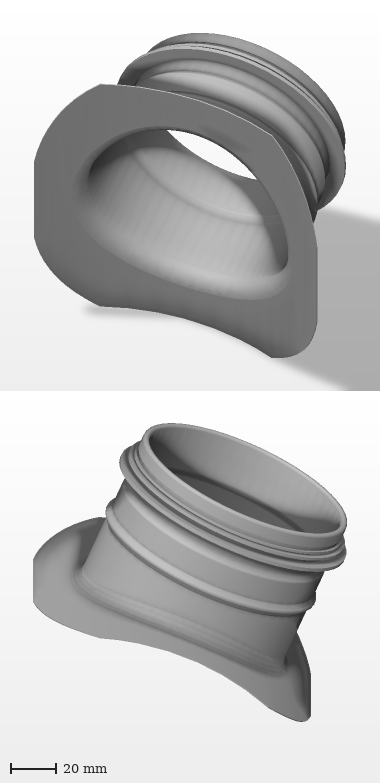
import cadquery as cq
import math


saddle_width = 135.0
saddle_height = 156.0
total_depth = 82.4

wall = 0.5
pipe_radius = 98.1 / 2
neck_radius = 94.2 / 2
hem_radius = 99.0 / 2
hem_depth = 6.2
bend_radius = 1.4
taper_rounding = 1.5
taper_start = 21.5
taper_end = 24.6

bead_depth = 39.0
bead_half_width = 3.1
bead_radius = 102.0 / 2
crown_half_width = 1.2
crown_base_radius = 100.8 / 2

saddle_inner_radius = 121.7
saddle_outer_radius = saddle_inner_radius + wall
flare_radius = 6.5
flat_half_width = 41.0
side_half_height = 26.5
corner_arc_x = 59.0
corner_arc_z = 55.8

band_radius = hem_radius - wall
gasket_inner_radius = 95.5 / 2
gasket_end = 15.6
small_lip_radius = 100.8 / 2
small_lip_depth = 8.1
small_lip_end = 9.2
middle_lip_radius = 104.5 / 2
middle_lip_depth = 10.0
middle_lip_end = 11.4
large_lip_radius = 109.5 / 2
large_lip_depth = 13.9

half_width = saddle_width / 2
half_height = saddle_height / 2
edge_cosine = math.sqrt(1 - (half_width / saddle_outer_radius) ** 2)
saddle_axis_depth = total_depth + saddle_inner_radius * edge_cosine
pipe_bore_radius = pipe_radius - wall
neck_bore_radius = neck_radius - wall
inner_bend_radius = bend_radius - wall
pipe_joint_depth = bead_depth + bead_half_width


def revolve_about_pipe_axis(profile):
    return profile.close().revolve(360, (0, 0, 0), (0, 1, 0))


def make_flared_core(radius, duct_radius, fillet_radius):
    """Solid pipe end running into a solid duct, with the junction rounded."""
    pipe_core = (
        cq.Workplane("XZ")
        .workplane(offset=pipe_joint_depth)
        .circle(radius)
        .extrude(saddle_axis_depth - pipe_joint_depth)
    )
    duct_core = (
        cq.Workplane("XY")
        .center(0, -saddle_axis_depth)
        .circle(duct_radius)
        .extrude(half_height + flare_radius, both=True)
    )
    junction = cq.selectors.BoxSelector(
        (-half_width, -total_depth, -half_height),
        (half_width, -pipe_joint_depth - wall, half_height),
    )
    return pipe_core.union(duct_core).edges(junction).fillet(fillet_radius)


def add_outline(plane, axis_distance):
    """Draw the saddle's outline, cast from the duct axis onto a plane at axis_distance."""

    def spread(x):
        return x * axis_distance / math.sqrt(saddle_outer_radius**2 - x**2)

    flat_x = spread(flat_half_width)
    arc_x = spread(corner_arc_x)
    side_x = spread(half_width)
    return (
        plane.moveTo(-flat_x, half_height)
        .lineTo(flat_x, half_height)
        .threePointArc((arc_x, corner_arc_z), (side_x, side_half_height))
        .lineTo(side_x, -side_half_height)
        .threePointArc((arc_x, -corner_arc_z), (flat_x, -half_height))
        .lineTo(-flat_x, -half_height)
        .threePointArc((-arc_x, -corner_arc_z), (-side_x, -side_half_height))
        .lineTo(-side_x, side_half_height)
        .threePointArc((-arc_x, corner_arc_z), (-flat_x, half_height))
        .close()
    )


def make_saddle_outline():
    """Block whose sides point at the duct axis, so that the sheet's edges are square to it."""
    top_distance = saddle_axis_depth - pipe_joint_depth
    bottom_distance = saddle_axis_depth - total_depth - flare_radius
    top = add_outline(cq.Workplane("XZ").workplane(offset=pipe_joint_depth), top_distance)
    top_and_bottom = add_outline(top.workplane(offset=top_distance - bottom_distance), bottom_distance)
    return top_and_bottom.loft(ruled=True)


def make_saddle():
    outside = make_flared_core(pipe_radius, saddle_outer_radius, flare_radius)
    inside = make_flared_core(pipe_bore_radius, saddle_inner_radius, flare_radius + wall)
    return make_saddle_outline().intersect(outside).cut(inside)


def make_pipe():
    """Thin pipe with a bead, a narrower neck and an end folded back as a hem."""
    pipe = revolve_about_pipe_axis(
        cq.Workplane("XY")
        .moveTo(pipe_bore_radius, -pipe_joint_depth)
        .lineTo(pipe_radius, -pipe_joint_depth)
        .lineTo(crown_base_radius, -bead_depth - crown_half_width)
        .threePointArc((bead_radius, -bead_depth), (crown_base_radius, -bead_depth + crown_half_width))
        .lineTo(pipe_radius, -bead_depth + bead_half_width)
        .lineTo(pipe_radius, -taper_end)
        .lineTo(neck_radius, -taper_start)
        .lineTo(neck_radius, -bend_radius)
        .radiusArc((neck_radius + inner_bend_radius, -wall), inner_bend_radius)
        .lineTo(band_radius - inner_bend_radius, -wall)
        .radiusArc((band_radius, -bend_radius), inner_bend_radius)
        .lineTo(band_radius, -hem_depth)
        .lineTo(hem_radius, -hem_depth)
        .lineTo(hem_radius, -bend_radius)
        .radiusArc((hem_radius - bend_radius, 0), -bend_radius)
        .lineTo(neck_bore_radius + bend_radius, 0)
        .radiusArc((neck_bore_radius, -bend_radius), -bend_radius)
        .lineTo(neck_bore_radius, -taper_start)
        .lineTo(pipe_bore_radius, -taper_end)
    )
    taper_edges = cq.selectors.BoxSelector(
        (-wall, -taper_end - wall, -wall), (wall, -taper_start + wall, wall)
    )
    return pipe.edges(taper_edges).fillet(taper_rounding)


def make_gasket():
    """Rubber ring around the neck, held by the hem, with three lips of growing size."""
    return revolve_about_pipe_axis(
        cq.Workplane("XY")
        .moveTo(gasket_inner_radius, -bend_radius)
        .lineTo(band_radius, -bend_radius)
        .lineTo(band_radius, -small_lip_depth)
        .lineTo(small_lip_radius, -small_lip_depth)
        .lineTo(small_lip_radius, -small_lip_end)
        .lineTo(band_radius, -small_lip_end)
        .lineTo(band_radius, -middle_lip_depth)
        .lineTo(middle_lip_radius, -middle_lip_depth)
        .lineTo(middle_lip_radius, -middle_lip_end)
        .lineTo(band_radius, -middle_lip_end)
        .lineTo(band_radius, -large_lip_depth)
        .lineTo(large_lip_radius, -large_lip_depth)
        .lineTo(large_lip_radius, -gasket_end)
        .lineTo(gasket_inner_radius, -gasket_end)
    )


saddle_pipe = make_pipe().union(make_saddle())
gasket = make_gasket()

result = cq.Compound.makeCompound([saddle_pipe.solids().val(), gasket.val()])